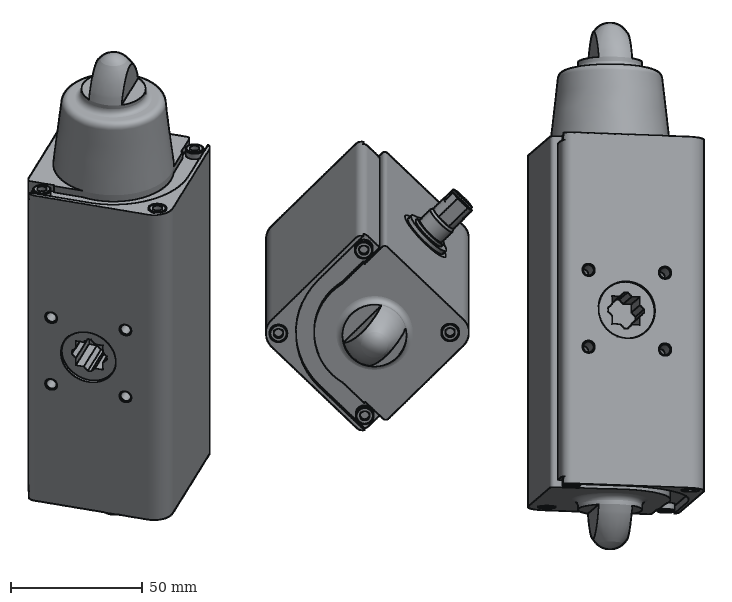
import cadquery as cq
import math


overall_height = 203.8
body_height = 136.0
half_height = body_height / 2
block_width = 59.1
axis_offset = 1.94
rear_outer = block_width / 2 - axis_offset
rear_inner = 21.8
rear_round = 7.3
rear_edge_round = 1.5
front_outer = block_width / 2 + axis_offset
front_inner = 24.9
front_round = 7.5
front_edge_round = 3.3

recess_depth = 2.9
recess_radius = 30.0
recess_wall = 22.5
screw_clearance = 3.7

screw_near = 20.4
screw_far = 25.9
head_diameter = 7.0
head_chamfer = 0.5
head_socket_diameter = 3.7
head_socket_depth = 2.0

tower_base_radius = 23.0
tower_shoulder_radius = 20.0
tower_shoulder_height = 27.0
tower_top_radius = 17.1
tower_height = 29.5

knob_flare_radius = 15.3
knob_base_radius = 12.2
knob_base_height = 2.2
knob_mid_radius = 10.4
knob_mid_height = 9.0
knob_tip_radius = 5.0
knob_tip_height = 17.1
knob_height = (overall_height - body_height - tower_height) / 2
knob_floor_height = 3.9
knob_blade_width = 13.0

mount_spacing = 29.8
mount_diameter = 4.0
mount_mouth_diameter = 4.9
mount_depth = 10.2

shaft_diameter = 22.0
shaft_setback = 1.5
flange_diameter = 19.0
flange_end = 29.3
collar_diameter = 14.0
collar_end = 30.5
stem_diameter = 12.0
stem_shoulder = 36.3
tip_diameter = 11.0
tip_start = 37.5
overall_depth = 79.3
shaft_end = overall_depth - front_outer
tip_flats = 9.5
tip_slot_width = 4.3
tip_slot_depth = 4.7
socket_side = 10.8
socket_points_diameter = 14.0
socket_depth = 16.3

END_SIDES = (1, -1)


def block(x_min, x_max, y_min, y_max, z_min, z_max):
    size = (x_max - x_min, y_max - y_min, z_max - z_min)
    return cq.Workplane().box(*size, centered=False).translate((x_min, y_min, z_min))


def disc(diameter, z_min, z_max, x=0.0, y=0.0):
    profile = cq.Workplane().circle(diameter / 2)
    return profile.extrude(z_max - z_min).translate((x, y, z_min))


def y_cylinder(diameter, y_min, y_max):
    profile = cq.Workplane("XZ", origin=(0, y_min, 0)).circle(diameter / 2)
    return profile.extrude(y_min - y_max)


def for_end(shape, side):
    """Mirror a shape made for the top end when the bottom end is wanted."""
    return shape if side > 0 else shape.mirror("XY")


def make_block():
    rear = block(-rear_outer, rear_inner, -rear_inner, rear_outer, -half_height, half_height)
    rear = rear.edges("|Z and <X and >Y").fillet(rear_round)
    rear = rear.edges("|Z").edges("(<X and <Y) or (>X and >Y)").fillet(rear_edge_round)
    front = block(-front_inner, front_outer, -front_outer, front_inner, -half_height, half_height)
    front = front.edges("|Z and >X and <Y").fillet(front_round)
    front = front.edges("|Z").edges("(<X and <Y) or (>X and >Y)").fillet(front_edge_round)
    return rear.union(front)


def make_recess():
    """L-shaped recess for the top end, bounded outside by an arc about the axis."""
    floor = half_height - recess_depth
    top = half_height
    arc = disc(2 * recess_radius, floor, top)
    strip_x = block(0, recess_radius, 0, front_inner, floor, top)
    strip_y = block(-front_inner, 0, -recess_radius, 0, floor, top)
    raised_x = block(-rear_outer, recess_wall, 0, rear_outer, floor, top)
    raised_y = block(-rear_outer, 0, -recess_wall, rear_outer, floor, top)
    raised_disc = disc(2 * tower_base_radius, floor, top)
    recess = arc.union(strip_x).union(strip_y)
    recess = recess.cut(raised_x).cut(raised_y).cut(raised_disc)
    relief_start = screw_near - screw_clearance
    relief_x = block(rear_inner, recess_wall, relief_start, front_inner, floor, top)
    relief_y = block(-front_inner, -relief_start, -recess_wall, -rear_inner, floor, top)
    return recess.union(relief_x).union(relief_y)


def make_tower():
    """Tapered tower with a rounded shoulder, its foot reaching the recess floor."""
    round_mid_radius = tower_top_radius + (tower_shoulder_radius - tower_top_radius) * math.sqrt(0.5)
    round_height = tower_height - tower_shoulder_height
    round_mid_height = tower_shoulder_height + round_height * math.sqrt(0.5)
    profile = (
        cq.Workplane("XZ")
        .moveTo(0, -recess_depth)
        .lineTo(tower_base_radius, -recess_depth)
        .lineTo(tower_base_radius, 0)
        .lineTo(tower_shoulder_radius, tower_shoulder_height)
        .threePointArc((round_mid_radius, round_mid_height), (tower_top_radius, tower_height))
        .lineTo(0, tower_height)
        .close()
    )
    return profile.revolve(360, (0, 0, 0), (0, 1, 0)).translate((0, 0, half_height))


def make_knob(base):
    """Ogive knob standing on the plane z = base, cut down on both sides to a blade."""
    flare_width = knob_flare_radius - knob_base_radius
    flare_mid_radius = knob_flare_radius - flare_width * math.sqrt(0.5)
    flare_mid_height = knob_base_height * (1 - math.sqrt(0.5))
    cap_height = knob_height - knob_tip_height
    cap_radius = (knob_tip_radius**2 + cap_height**2) / (2 * cap_height)
    cap_mid_radius = knob_tip_radius / 2
    cap_mid_height = knob_height - cap_radius + math.sqrt(cap_radius**2 - cap_mid_radius**2)
    profile = (
        cq.Workplane("XZ")
        .lineTo(knob_flare_radius, 0)
        .threePointArc((flare_mid_radius, flare_mid_height), (knob_base_radius, knob_base_height))
        .lineTo(knob_base_radius, knob_floor_height)
        .threePointArc((knob_mid_radius, knob_mid_height), (knob_tip_radius, knob_tip_height))
        .threePointArc((cap_mid_radius, cap_mid_height), (0, knob_height))
        .close()
    )
    knob = profile.revolve(360, (0, 0, 0), (0, 1, 0))
    reach = knob_flare_radius
    blade_half = knob_blade_width / 2
    for x_min, x_max in ((-reach, -blade_half), (blade_half, reach)):
        knob = knob.cut(block(x_min, x_max, -reach, reach, knob_floor_height, knob_height))
    return knob.translate((0, 0, base))


def make_screw_head(x, y):
    """Screw head flush with the top end face, with a round socket."""
    head = disc(head_diameter, half_height - recess_depth, half_height, x, y)
    head = head.faces(">Z").chamfer(head_chamfer)
    socket = disc(head_socket_diameter, half_height - head_socket_depth, half_height, x, y)
    return head.cut(socket)


def add_end_screws(body, side):
    for x in (-screw_near, screw_far):
        for y in (-screw_far, screw_near):
            bore = disc(head_diameter, half_height - recess_depth, half_height, x, y)
            body = body.cut(for_end(bore, side))
            body = body.union(for_end(make_screw_head(x, y), side))
    return body


def make_mount_hole(x, z):
    """Threaded hole in the front face with a chamfered mouth and a conical bottom."""
    radius = mount_diameter / 2
    mouth_radius = mount_mouth_diameter / 2
    profile = (
        cq.Workplane("XY")
        .lineTo(mouth_radius, 0)
        .lineTo(radius, mouth_radius - radius)
        .lineTo(radius, mount_depth)
        .lineTo(0, mount_depth + radius / math.sqrt(3))
        .close()
    )
    hole = profile.revolve(360, (0, 0, 0), (0, 1, 0))
    return hole.translate((x, -front_outer, z))


def make_housing():
    body = make_block()
    for side in END_SIDES:
        body = body.cut(for_end(make_recess(), side))
        body = add_end_screws(body, side)
    body = body.union(make_tower())
    body = body.union(make_knob(half_height + tower_height))
    body = body.union(for_end(make_knob(half_height), -1))
    for x in (-mount_spacing / 2, mount_spacing / 2):
        for z in (-mount_spacing / 2, mount_spacing / 2):
            body = body.cut(make_mount_hole(x, z))
    return body.cut(y_cylinder(shaft_diameter, -front_outer, rear_outer))


def make_shaft():
    front = -front_outer + shaft_setback
    shaft = y_cylinder(shaft_diameter, front, rear_outer)
    shaft = shaft.union(y_cylinder(flange_diameter, rear_outer, flange_end))
    shaft = shaft.union(y_cylinder(collar_diameter, flange_end, collar_end))
    stem = y_cylinder(stem_diameter, collar_end, tip_start)
    stem = stem.faces(">Y").chamfer(tip_start - stem_shoulder, (stem_diameter - tip_diameter) / 2)
    shaft = shaft.union(stem)

    tip_length = shaft_end - tip_start
    tip_middle = (tip_start + shaft_end) / 2
    flats = cq.Workplane().box(tip_diameter, tip_length, tip_flats).translate((0, tip_middle, 0))
    shaft = shaft.union(y_cylinder(tip_diameter, tip_start, shaft_end).intersect(flats))
    slot = cq.Workplane().box(tip_diameter, tip_slot_depth, tip_slot_width)
    shaft = shaft.cut(slot.translate((0, shaft_end - tip_slot_depth / 2, 0)))

    socket = cq.Workplane().box(socket_side, socket_depth, socket_side)
    socket = socket.translate((0, front + socket_depth / 2, 0))
    points = socket.rotate((0, 0, 0), (0, 1, 0), 45)
    points = points.intersect(y_cylinder(socket_points_diameter, front, front + socket_depth))
    shaft = shaft.cut(socket).cut(points)
    return shaft


housing = make_housing()
shaft = make_shaft()
result = cq.Compound.makeCompound([housing.val(), shaft.val()])